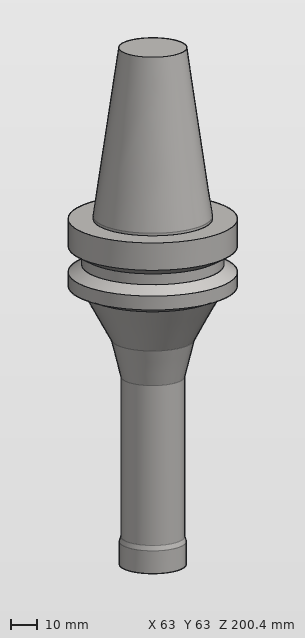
import cadquery as cq


gauge_diameter = 44.45
shank_length = 65.4
taper_ratio = 7 / 24
shank_end_diameter = gauge_diameter - shank_length * taper_ratio

flange_diameter = 63.0
flange_top_z = -1.0
flange_bottom_z = -27.0
groove_diameter = 53.0
groove_center_z = -16.6
groove_mouth_width = 10.0
groove_floor_width = 4.2

neck_root_diameter = 60.0
neck_shoulder_diameter = 51.0
neck_shoulder_z = -29.5
neck_waist_diameter = 31.0
neck_waist_z = -47.7
neck_end_z = -62.2

stem_diameter = 23.8
collar_diameter = 25.0
collar_chamfer_top_z = -124.2
collar_chamfer_bottom_z = -126.1
tip_z = -135.0


def shank_outline():
    return [
        (0, shank_length),
        (shank_end_diameter / 2, shank_length),
        (gauge_diameter / 2, 0),
        (gauge_diameter / 2, flange_top_z),
    ]


def flange_outline():
    rim = flange_diameter / 2
    floor = groove_diameter / 2
    return [
        (rim, flange_top_z),
        (rim, groove_center_z + groove_mouth_width / 2),
        (floor, groove_center_z + groove_floor_width / 2),
        (floor, groove_center_z - groove_floor_width / 2),
        (rim, groove_center_z - groove_mouth_width / 2),
        (rim, flange_bottom_z),
    ]


def neck_outline():
    return [
        (neck_root_diameter / 2, flange_bottom_z),
        (neck_shoulder_diameter / 2, neck_shoulder_z),
        (neck_waist_diameter / 2, neck_waist_z),
        (stem_diameter / 2, neck_end_z),
    ]


def stem_outline():
    return [
        (stem_diameter / 2, collar_chamfer_top_z),
        (collar_diameter / 2, collar_chamfer_bottom_z),
        (collar_diameter / 2, tip_z),
        (0, tip_z),
    ]


half_outline = shank_outline() + flange_outline() + neck_outline() + stem_outline()
result = (
    cq.Workplane("XZ")
    .polyline(half_outline)
    .close()
    .revolve(360, (0, 0, 0), (0, 1, 0))
)